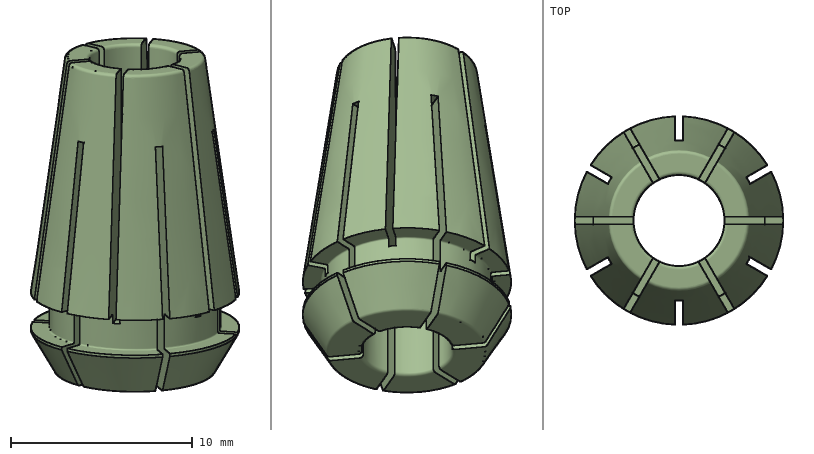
import cadquery as cq
import math

length = 18.0
outer_diameter = 11.5
outer_radius = outer_diameter / 2
bore_diameter = 5.0
bore_radius = bore_diameter / 2

flange_rim_bottom = 2.34
flange_top = 2.5
taper_bottom = 4.5
groove_radius = 4.73

taper_half_angle = 8.0
nose_half_angle = 30.0

slot_width = 0.41
slots_per_end = 6
slot_pitch_angle = 360.0 / slots_per_end
top_slot_floor = 4.0
bottom_slot_roof = 14.0

end_fillet = 0.2
bore_fillet = 0.2
groove_fillet = 0.09

taper_top_radius = outer_radius - (length - taper_bottom) * math.tan(math.radians(taper_half_angle))
nose_radius = outer_radius - flange_rim_bottom * math.tan(math.radians(nose_half_angle))


def collet_body():
    """Revolved collet: nose cone, flange rim, puller groove and main taper around the bore."""
    return (
        cq.Workplane("XZ")
        .moveTo(bore_radius, 0)
        .lineTo(nose_radius, 0)
        .lineTo(outer_radius, flange_rim_bottom)
        .lineTo(outer_radius, flange_top)
        .lineTo(groove_radius, flange_top)
        .lineTo(groove_radius, taper_bottom)
        .lineTo(outer_radius, taper_bottom)
        .lineTo(taper_top_radius, length)
        .lineTo(bore_radius, length)
        .close()
        .revolve(360, (0, 0, 0), (0, 1, 0))
    )


def circle_at(body, radius, height):
    """Select the circular edge of the body with the given radius and height."""
    tolerance = 0.002
    return body.edges("%CIRCLE").filter(
        lambda edge: abs(edge.radius() - radius) < tolerance and abs(edge.Center().z - height) < tolerance
    )


def finish_edges(body):
    """Round the bore mouths and outer end edges, and fillet both corners of the groove."""
    for height in (0, length):
        body = circle_at(body, bore_radius, height).fillet(bore_fillet)
    body = circle_at(body, nose_radius, 0).fillet(end_fillet)
    body = circle_at(body, taper_top_radius, length).fillet(end_fillet)
    for height in (flange_top, taper_bottom):
        body = circle_at(body, groove_radius, height).fillet(groove_fillet)
    return body


def radial_slots(bottom, top, first_angle):
    """Evenly spaced slots from the axis out through the wall, between two heights."""
    return (
        cq.Workplane("XY", origin=(0, 0, bottom))
        .polarArray(outer_radius, first_angle, 360, slots_per_end)
        .rect(outer_diameter, slot_width)
        .extrude(top - bottom)
    )


result = finish_edges(collet_body())
result = result.cut(radial_slots(top_slot_floor, length, 0))
result = result.cut(radial_slots(0, bottom_slot_roof, slot_pitch_angle / 2))